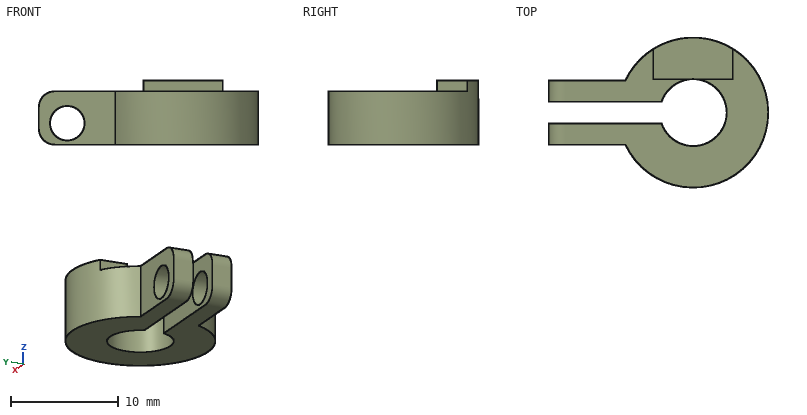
import cadquery as cq

total_length = 20.45
ring_radius = 7.0
bore_radius = 3.1
ring_height = 5.0

ears_width = 6.0
slot_width = 2.0
ear_corner_radius = 1.5
ear_end_x = ring_radius - total_length
ear_length = -ear_end_x

screw_hole_diameter = 3.2
screw_hole_end_distance = 2.65
screw_hole_z = 2.0

pad_length = 7.4
pad_height = 1.0


def make_ears():
    """Bar from the ear ends to the ring centre, rounded at the free end."""
    bar = cq.Workplane("XY").box(ear_length, ears_width, ring_height, centered=(False, True, False))
    bar = bar.translate((ear_end_x, 0, 0))
    return bar.faces("<X").edges("|Y").fillet(ear_corner_radius)


def make_pad():
    """Rectangular pad trimmed to the outer circle of the ring."""
    pad_depth = ring_radius - bore_radius
    block = cq.Workplane("XY").box(pad_length, pad_depth, pad_height, centered=(True, False, False))
    block = block.translate((0, bore_radius, ring_height))
    rim = cq.Workplane("XY").workplane(offset=ring_height).circle(ring_radius).extrude(pad_height)
    return block.intersect(rim)


def make_slot():
    """Gap between the ears, ending inside the bore."""
    gap = cq.Workplane("XY").box(ear_length, slot_width, ring_height, centered=(False, True, False))
    return gap.translate((ear_end_x, 0, 0))


def make_screw_hole():
    """Cylinder along Y through both ears."""
    hole_x = ear_end_x + screw_hole_end_distance
    return (
        cq.Workplane("XZ")
        .center(hole_x, screw_hole_z)
        .circle(screw_hole_diameter / 2)
        .extrude(ears_width, both=True)
    )


ring = cq.Workplane("XY").circle(ring_radius).extrude(ring_height)
bore = cq.Workplane("XY").circle(bore_radius).extrude(ring_height)

result = ring.union(make_ears()).union(make_pad())
result = result.cut(bore).cut(make_slot()).cut(make_screw_hole())